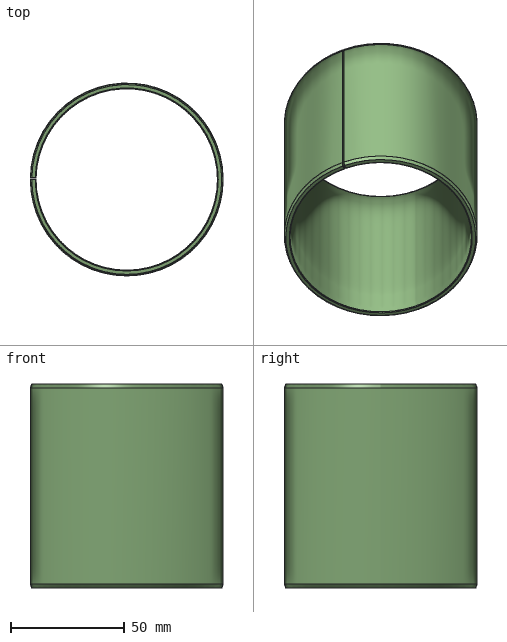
import cadquery as cq
import math

length = 90.0
outer_diameter = 85.0
wall = 2.5
lead_in_length = 1.8
lead_in_angle = 20.0
inner_chamfer = 0.4
slit_width = 0.7

outer_radius = outer_diameter / 2
inner_radius = outer_radius - wall
lead_in_depth = lead_in_length * math.tan(math.radians(lead_in_angle))


def make_sleeve():
    """Revolve the wall section, with outer lead-ins and inner edge breaks, about Z."""
    half = length / 2
    upper_half = [
        (outer_radius, half - lead_in_length),
        (outer_radius - lead_in_depth, half),
        (inner_radius + inner_chamfer, half),
        (inner_radius, half - inner_chamfer),
    ]
    lower_half = [(r, -z) for r, z in reversed(upper_half)]
    section = cq.Workplane("XZ").polyline(upper_half + lower_half).close()
    return section.revolve(360, (0, 0, 0), (0, 1, 0))


def make_slit():
    """Thin cutter through the wall on the -X side; one slit face lies on the XZ plane."""
    cutter = cq.Workplane("XY").box(2 * wall, slit_width, length)
    return cutter.translate((-(outer_radius - wall / 2), slit_width / 2, 0))


result = make_sleeve().cut(make_slit())